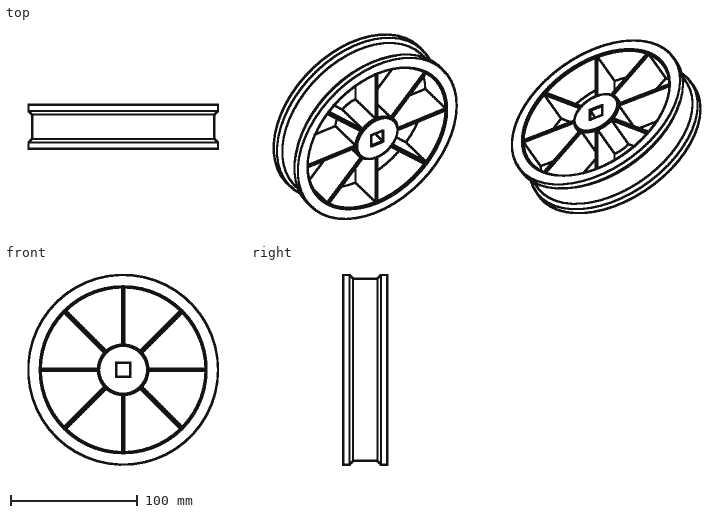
import cadquery as cq

wheel_radius = 75.0
wheel_width = 35.0
tread_radius = 72.0
flange_width = 5.0
flange_slope = wheel_radius - tread_radius

rim_inner_radius = 65.0
hub_radius = 20.0
web_thickness = 5.0
rib_count = 8
rib_thickness = 2.1
pocket_chamfer = 1.0

axle_square = 10.5
axle_chamfer = 0.5

front_y = -wheel_width / 2
back_y = wheel_width / 2
pocket_depth = wheel_width - web_thickness


def make_body():
    """Solid wheel with a shallow, slope-sided groove around its tread."""
    slope_start = wheel_width / 2 - flange_width
    slope_end = slope_start - flange_slope
    return (
        cq.Workplane("XY")
        .moveTo(0, front_y)
        .lineTo(wheel_radius, front_y)
        .lineTo(wheel_radius, -slope_start)
        .lineTo(tread_radius, -slope_end)
        .lineTo(tread_radius, slope_end)
        .lineTo(wheel_radius, slope_start)
        .lineTo(wheel_radius, back_y)
        .lineTo(0, back_y)
        .close()
        .revolve(360, (0, 0, 0), (0, 1, 0))
    )


def make_pockets():
    """Ring-shaped cutter, divided into sectors by the ribs."""
    front_plane = cq.Workplane("XZ", origin=(0, front_y, 0))
    pockets = front_plane.circle(rim_inner_radius).circle(hub_radius).extrude(-pocket_depth)
    for index in range(rib_count // 2):
        rib_bar = front_plane.rect(2 * wheel_radius, rib_thickness).extrude(-pocket_depth)
        angle = index * 360 / rib_count
        pockets = pockets.cut(rib_bar.rotate((0, 0, 0), (0, 1, 0), angle))
    return pockets


def make_axle_hole():
    """Square through-hole cutter."""
    return cq.Workplane("XZ", origin=(0, front_y, 0)).rect(axle_square, axle_square).extrude(-wheel_width)


def chamfer_front_openings(part, box_size, chamfer):
    """Chamfer the open-face edges that lie wholly inside a centred square."""
    half = box_size / 2
    margin = wheel_width / 100
    selector = cq.selectors.BoxSelector(
        (-half, front_y - margin, -half), (half, front_y + margin, half), boundingbox=True
    )
    return part.faces("<Y").edges(selector).chamfer(chamfer)


pocketed = make_body().cut(make_pockets())
pocketed = chamfer_front_openings(pocketed, rim_inner_radius + wheel_radius, pocket_chamfer)

result = pocketed.cut(make_axle_hole())
result = chamfer_front_openings(result, 2 * axle_square, axle_chamfer)